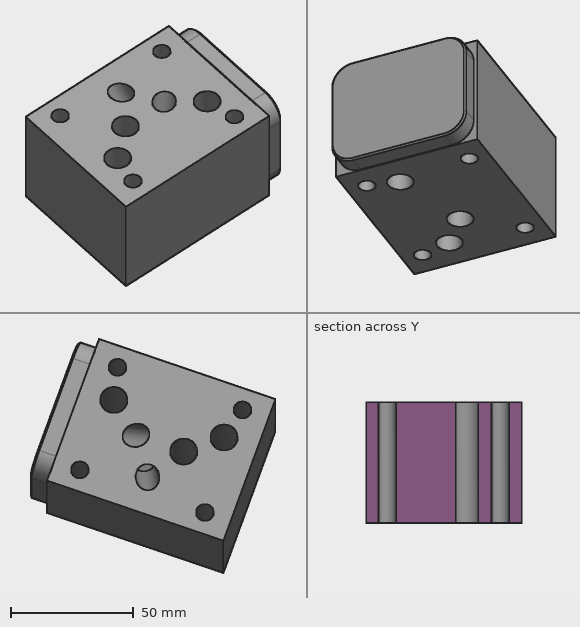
import cadquery as cq
import math

block_width = 63.5
block_length = 76.2
block_height = 49.23
top_z = block_height / 2

plate_width = 60.3
plate_height = 48.4
plate_thickness = 7.92
plate_corner_radius = 9.525
plate_edge_chamfer = 0.75

bolt_spacing_x = 46.0
bolt_spacing_y = 54.0
bolt_diameter = 7.14
bolt_inset_x = 8.7
pattern_x = -block_width / 2 + bolt_inset_x
pattern_y = (block_length - bolt_spacing_y) / 2

port_diameter = 11.0
through_ports = [(32.5, 3.2), (32.5, 50.8), (21.4, 16.7)]

slant_diameter = 9.6
slant_tilt = 30.0
slant_end_z = 0.0
slanted_ports = [((6.3, 27.0), 25.4), ((21.4, 37.3), -49.4)]


def make_block():
    centre = (0, block_length / 2, 0)
    return cq.Workplane("XY", origin=centre).box(block_width, block_length, block_height)


def make_cover_plate():
    plate = (
        cq.Workplane("XZ", origin=(0, block_length, 0))
        .rect(plate_width, plate_height)
        .extrude(-plate_thickness)
        .edges("|Y")
        .fillet(plate_corner_radius)
    )
    return plate.faces(">Y").chamfer(plate_edge_chamfer)


def vertical_holes(places, diameter):
    return (
        cq.Workplane("XY", origin=(pattern_x, pattern_y, -top_z))
        .pushPoints(places)
        .circle(diameter / 2)
        .extrude(block_height)
    )


def slanted_port(place, heading):
    """Blind bore entering the top face at place and leaning towards heading as it goes down."""
    heading_x = math.cos(math.radians(heading))
    heading_y = math.sin(math.radians(heading))
    lean = math.sin(math.radians(slant_tilt))
    drop = math.cos(math.radians(slant_tilt))
    direction = cq.Vector(lean * heading_x, lean * heading_y, -drop)
    overrun = slant_diameter
    depth = (top_z - slant_end_z) / drop
    mouth = cq.Vector(pattern_x + place[0], pattern_y + place[1], top_z)
    plane = cq.Plane(mouth - direction * overrun, normal=direction)
    return cq.Workplane(plane).circle(slant_diameter / 2).extrude(depth + overrun)


bolt_places = [(x, y) for x in (0, bolt_spacing_x) for y in (0, bolt_spacing_y)]

result = make_block().union(make_cover_plate())
result = result.cut(vertical_holes(bolt_places, bolt_diameter))
result = result.cut(vertical_holes(through_ports, port_diameter))
for port_place, port_heading in slanted_ports:
    result = result.cut(slanted_port(port_place, port_heading))